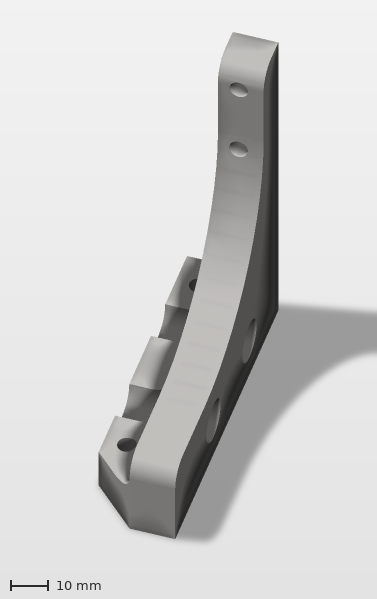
import cadquery as cq
import math

height = 101.6
depth = 88.9
wall = 12.7
width = 2 * wall

base_height = 2 * wall
inner_radius = 50.8
corner_radius = wall / 2

cove_radius = wall / 2
foot_chamfer = wall

screw_diameter = 5.2
foot_screw_x = 6.3
arm_screw_x = 18.5
arm_screw_heights = (71.5, 93.8)
cross_diameter = 12.3
cross_height = wall
cross_spacing = 31.0
foot_screw_spacing = 2 * cross_spacing
pattern_center_y = 48.5


def make_plate():
    """L-shaped plate with a concave quarter arc, in the YZ plane."""
    arm_y = depth - wall
    arc_center_y = arm_y - inner_radius
    arc_center_z = base_height + inner_radius
    arc_offset = inner_radius * math.sqrt(0.5)
    plate = (
        cq.Workplane("YZ", origin=(wall, 0, 0))
        .lineTo(0, base_height)
        .lineTo(arc_center_y, base_height)
        .threePointArc(
            (arc_center_y + arc_offset, arc_center_z - arc_offset),
            (arm_y, arc_center_z),
        )
        .lineTo(arm_y, height)
        .lineTo(depth, height)
        .lineTo(depth, 0)
        .close()
        .extrude(wall)
    )
    toe_corner = cq.selectors.NearestToPointSelector((wall + wall / 2, 0, base_height))
    arm_corner = cq.selectors.NearestToPointSelector((wall + wall / 2, arm_y, height))
    return plate.edges(toe_corner + arm_corner).fillet(corner_radius)


def make_foot():
    """Mounting foot with a cove up the plate and a cut-off front corner."""
    cove_start_x = wall - cove_radius
    cove_top = wall + cove_radius
    arc_offset = cove_radius * math.sqrt(0.5)
    foot = (
        cq.Workplane("XZ")
        .lineTo(0, wall)
        .lineTo(cove_start_x, wall)
        .threePointArc(
            (cove_start_x + arc_offset, cove_top - arc_offset),
            (wall, cove_top),
        )
        .lineTo(wall, 0)
        .close()
        .extrude(-depth)
    )
    corner = (
        cq.Workplane("XY")
        .lineTo(foot_chamfer, 0)
        .lineTo(0, foot_chamfer)
        .close()
        .extrude(height)
    )
    return foot.cut(corner)


def along_y(spacing):
    """Two Y positions spaced evenly about the hole pattern centre."""
    return (pattern_center_y - spacing / 2, pattern_center_y + spacing / 2)


def make_hole_cutters():
    foot_screws = (
        cq.Workplane("XY")
        .pushPoints([(foot_screw_x, y) for y in along_y(foot_screw_spacing)])
        .circle(screw_diameter / 2)
        .extrude(base_height)
    )
    arm_screws = (
        cq.Workplane("XZ")
        .pushPoints([(arm_screw_x, z) for z in arm_screw_heights])
        .circle(screw_diameter / 2)
        .extrude(-depth)
    )
    cross_holes = (
        cq.Workplane("YZ")
        .pushPoints([(y, cross_height) for y in along_y(cross_spacing)])
        .circle(cross_diameter / 2)
        .extrude(width)
    )
    return foot_screws, arm_screws, cross_holes


result = make_plate().union(make_foot())
for cutter in make_hole_cutters():
    result = result.cut(cutter)